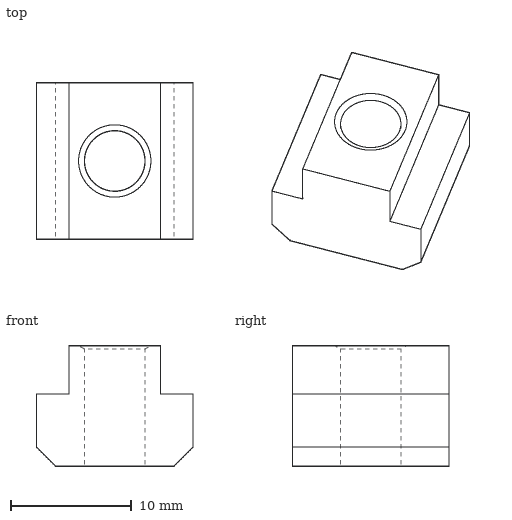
import cadquery as cq
import math

width = 13.0
length = 13.0
height = 10.0

neck_width = 7.6
flange_height = 6.0
bottom_chamfer = 1.6

hole_diameter = 5.0
countersink_diameter = 6.0
countersink_angle = 120.0


def tee_body():
    """T-profile in XZ, extruded along Y and centred on the Z axis."""
    half_width = width / 2
    half_neck = neck_width / 2
    half_base = half_width - bottom_chamfer
    right_side = [
        (half_base, 0),
        (half_width, bottom_chamfer),
        (half_width, flange_height),
        (half_neck, flange_height),
        (half_neck, height),
    ]
    left_side = [(-x, z) for x, z in reversed(right_side)]
    return (
        cq.Workplane("XZ")
        .polyline(right_side + left_side)
        .close()
        .extrude(length / 2, both=True)
    )


def countersunk_hole():
    """Cutter for the through hole: half section revolved about the Z axis."""
    hole_radius = hole_diameter / 2
    mouth_radius = countersink_diameter / 2
    half_angle = math.radians(countersink_angle / 2)
    countersink_depth = (mouth_radius - hole_radius) / math.tan(half_angle)
    half_section = [
        (0, 0),
        (hole_radius, 0),
        (hole_radius, height - countersink_depth),
        (mouth_radius, height),
        (0, height),
    ]
    return (
        cq.Workplane("XZ")
        .polyline(half_section)
        .close()
        .revolve(360, (0, 0, 0), (0, 1, 0))
    )


result = tee_body().cut(countersunk_hole())